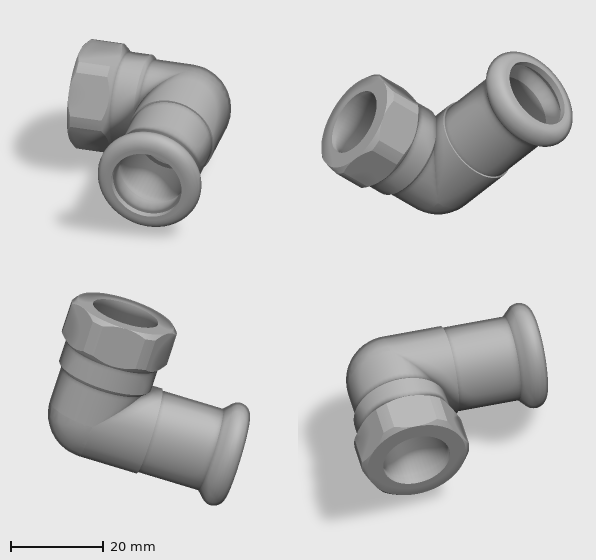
import cadquery as cq
import math


body_radius = 9.65
nut_leg_length = 24.0
socket_leg_length = 33.0
elbow_skirt_end = 13.0

hex_flats = 22.0
hex_corner_radius = 12.0
hex_face_radius = 11.0
hex_length = 9.55
hex_chamfer = hex_corner_radius - hex_face_radius
collar_radius = 10.5
collar_end = 8.45
collar_chamfer = collar_radius - body_radius

tube_radius = 9.25
bead_radius = 11.6
bead_round = 2.6

bore_radius = 6.65
thread_radius = 7.45
thread_depth = 13.0
socket_radius = 7.6
socket_depth = 20.0
mouth_radius = 7.9
mouth_depth = 1.4
groove_radius = 10.0
groove_width = 2.1
spot_radius = 1.9
spot_depth = 0.5


def along_x(radius, x_from, x_to):
    """Cylinder on the nut axis."""
    return cq.Workplane("YZ", origin=(x_from, 0, 0)).circle(radius).extrude(x_to - x_from)


def along_y(radius, y_from, y_to):
    """Cylinder on the socket axis."""
    return cq.Workplane("XZ", origin=(0, y_to, 0)).circle(radius).extrude(y_to - y_from)


def elbow(radius, x_end, y_end):
    """Two mitred round legs joined by a ball at the outer corner."""
    ball = cq.Workplane("XY").sphere(radius)
    return along_x(radius, x_end, 0).union(along_y(radius, y_end, 0)).union(ball)


def nut():
    """Hexagon with corners on +Y and -Y, turned down and chamfered at both ends."""
    across_corners = hex_flats / math.cos(math.pi / 6)
    start = -nut_leg_length
    hexagon = cq.Workplane("YZ", origin=(start, 0, 0)).polygon(6, across_corners).extrude(hex_length)
    rear_chamfer = hex_corner_radius - collar_radius
    envelope = (
        along_x(hex_corner_radius, start, start + hex_length)
        .faces("<X").chamfer(hex_chamfer)
        .faces(">X").chamfer(rear_chamfer)
    )
    return hexagon.intersect(envelope)


def collar():
    """Round collar behind the nut, bevelled down to the elbow body."""
    return along_x(collar_radius, -nut_leg_length + hex_length, -collar_end).faces(">X").chamfer(collar_chamfer)


def socket_tube():
    """Tube flaring at 45 degrees into a rounded bead that meets the mouth face smoothly."""
    mouth = -socket_leg_length
    bead_centre_radius = bead_radius - bead_round
    bead_centre_y = mouth + bead_round
    diagonal = bead_round * math.sqrt(0.5)
    flare_radius = bead_centre_radius + diagonal
    flare_y = bead_centre_y + diagonal
    return (
        cq.Workplane("XY")
        .lineTo(tube_radius, 0)
        .lineTo(tube_radius, flare_y + flare_radius - tube_radius)
        .lineTo(flare_radius, flare_y)
        .threePointArc((bead_radius, bead_centre_y), (bead_centre_radius, mouth))
        .lineTo(0, mouth)
        .close()
        .revolve(360, (0, 0, 0), (0, 1, 0))
    )


def seal_groove():
    """Ring groove inside the bead, tapering at 45 degrees into the socket."""
    groove_start = mouth_depth - socket_leg_length
    taper_start = groove_start + groove_width
    taper_end = taper_start + groove_radius - socket_radius
    return (
        cq.Workplane("XY")
        .moveTo(0, groove_start)
        .lineTo(groove_radius, groove_start)
        .lineTo(groove_radius, taper_start)
        .lineTo(socket_radius, taper_end)
        .lineTo(0, taper_end)
        .close()
        .revolve(360, (0, 0, 0), (0, 1, 0))
    )


def passage():
    """Everything removed from the inside."""
    nut_end = -nut_leg_length
    mouth = -socket_leg_length
    return (
        elbow(bore_radius, nut_end, mouth)
        .union(along_x(thread_radius, nut_end, nut_end + thread_depth))
        .union(along_y(socket_radius, mouth, mouth + socket_depth))
        .union(along_y(mouth_radius, mouth, mouth + mouth_depth))
        .union(seal_groove())
        .union(along_y(spot_radius, 0, bore_radius + spot_depth))
    )


outside = (
    elbow(body_radius, -nut_leg_length + hex_length, -elbow_skirt_end)
    .union(nut())
    .union(collar())
    .union(socket_tube())
)
result = outside.cut(passage())